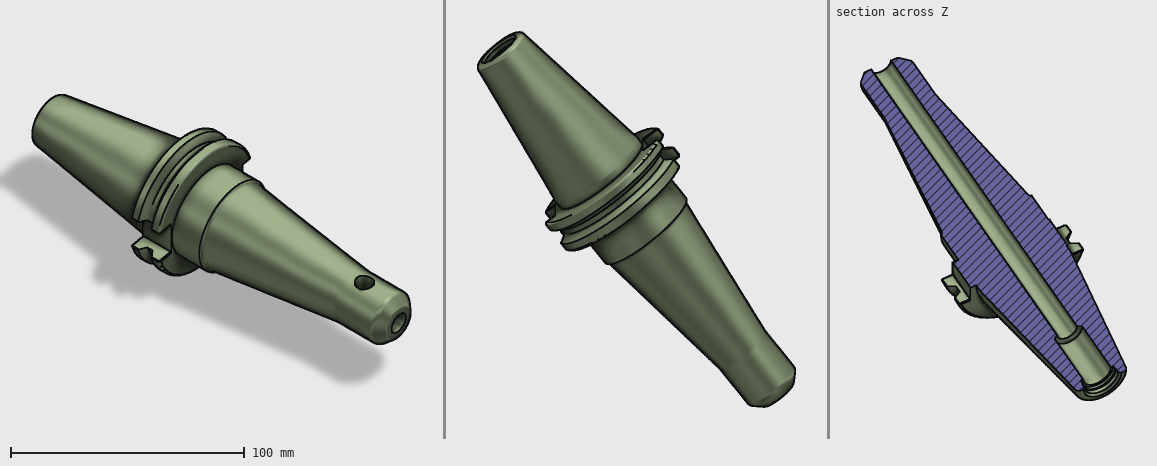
import cadquery as cq
import math

INCH = 25.4
TOLERANCE = 1e-3

GAUGE_DIAMETER = 44.45
TAPER_RATIO = 7 / 24
SHANK_LENGTH = 68.25
SHANK_END_FILLET = 2.2

FLANGE_DIAMETER = 63.5
FLANGE_BACK_X = 0.125 * INCH
FLANGE_FRONT_X = 0.75 * INCH
FLANGE_RIM_FILLET = 1.0

GROOVE_CENTRE_X = 10.8
GROOVE_FLOOR_DIAMETER = 56.36
GROOVE_FLOOR_WIDTH = 3.2
GROOVE_FLOOR_FILLET = 0.5
GROOVE_HALF_ANGLE = math.radians(30)

SLOT_WIDTH = 16.3
SLOT_FLOOR_MINUS_Y = 22.6
SLOT_FLOOR_PLUS_Y = 25.0
SLOT_EDGE_CHAMFER = 0.45

BODY_END_X = 34.3
STEP_LENGTH = 0.7
STEP_DEPTH = 1.1
STEP_FILLET = 1.0
NOSE_DIAMETER = 25.4
NOSE_START_X = 4 * INCH
NOSE_END_X = 5 * INCH
NOSE_BLEND_RADIUS = 6.0
NOSE_CHAMFER = 4.5
NOSE_SHOULDER_FILLET = 2.5
NOSE_TIP_FILLET = 1.6

SOCKET_MOUTH_DIAMETER = 18.4
SOCKET_PILOT_DIAMETER = 16.3
SOCKET_PILOT_DEPTH = 3.0
SOCKET_SEAT_DIAMETER = 15.7
SOCKET_SEAT_DEPTH = 4.8
THREAD_BORE_DIAMETER = 13.39
THREAD_BORE_DEPTH = 30.0
DRILL_POINT_HALF_ANGLE = math.radians(59)

TOOL_BORE_DIAMETER = 9.53
SET_SCREW_DIAMETER = 8.38
SET_SCREW_X = NOSE_END_X - 0.75 * INCH


def revolve_profile(points):
    """Solid of revolution about X from (x, radius) points, closed on the axis."""
    on_axis = [(points[0][0], 0)] + points + [(points[-1][0], 0)]
    return cq.Workplane("XY").polyline(on_axis).close().revolve(360, (0, 0, 0), (1, 0, 0))


def circle_edges_at(solid, x, radius):
    """Circular edges of a solid centred on the X axis at one station and radius."""
    def matches(edge):
        return (
            edge.geomType() == "CIRCLE"
            and abs(edge.Center().x - x) < TOLERANCE
            and abs(edge.radius() - radius) < TOLERANCE
        )
    return solid.newObject([edge for edge in solid.edges().vals() if matches(edge)])


def make_shank():
    gauge_radius = GAUGE_DIAMETER / 2
    end_radius = gauge_radius - SHANK_LENGTH * TAPER_RATIO / 2
    shank = revolve_profile(
        [(-SHANK_LENGTH, end_radius), (0, gauge_radius), (FLANGE_BACK_X, gauge_radius)]
    )
    return circle_edges_at(shank, -SHANK_LENGTH, end_radius).fillet(SHANK_END_FILLET)


def make_drive_slot(side, floor_distance):
    """Block that cuts one drive slot; side is the sign of Y it lies on."""
    width = FLANGE_FRONT_X - FLANGE_BACK_X
    depth = FLANGE_DIAMETER / 2 - floor_distance
    centre = ((FLANGE_BACK_X + FLANGE_FRONT_X) / 2, side * (floor_distance + depth / 2), 0)
    return cq.Workplane("XY").box(width, depth, SLOT_WIDTH).translate(centre)


def slot_wall_edges(flange, mouth_back_x, mouth_front_x):
    """Outer edges of the slot walls: end faces, rim fillets and rim lands.

    Edges inside the groove and along the slot floors reach past the groove mouth and are left sharp.
    """
    def matches(edge):
        box = edge.BoundingBox()
        on_wall = box.zlen < TOLERANCE and abs(abs(box.center.z) - SLOT_WIDTH / 2) < TOLERANCE
        beside_groove = box.xmax < mouth_back_x + TOLERANCE or box.xmin > mouth_front_x - TOLERANCE
        return on_wall and beside_groove
    return flange.newObject([edge for edge in flange.edges().vals() if matches(edge)])


def make_flange():
    rim = FLANGE_DIAMETER / 2
    groove_floor = GROOVE_FLOOR_DIAMETER / 2
    floor_back_x = GROOVE_CENTRE_X - GROOVE_FLOOR_WIDTH / 2
    floor_front_x = GROOVE_CENTRE_X + GROOVE_FLOOR_WIDTH / 2
    wall_length = (rim - groove_floor) * math.tan(GROOVE_HALF_ANGLE)
    mouth_back_x = floor_back_x - wall_length
    mouth_front_x = floor_front_x + wall_length
    flange = revolve_profile([
        (FLANGE_BACK_X, rim),
        (mouth_back_x, rim),
        (floor_back_x, groove_floor),
        (floor_front_x, groove_floor),
        (mouth_front_x, rim),
        (FLANGE_FRONT_X, rim),
    ])
    for x in (floor_back_x, floor_front_x):
        flange = circle_edges_at(flange, x, groove_floor).fillet(GROOVE_FLOOR_FILLET)
    for x in (FLANGE_BACK_X, FLANGE_FRONT_X):
        flange = circle_edges_at(flange, x, rim).fillet(FLANGE_RIM_FILLET)
    for side, floor_distance in ((-1, SLOT_FLOOR_MINUS_Y), (1, SLOT_FLOOR_PLUS_Y)):
        flange = flange.cut(make_drive_slot(side, floor_distance))
    return slot_wall_edges(flange, mouth_back_x, mouth_front_x).chamfer(SLOT_EDGE_CHAMFER)


def make_body_and_nose():
    body_radius = GAUGE_DIAMETER / 2
    nose_radius = NOSE_DIAMETER / 2
    tip_radius = nose_radius - NOSE_CHAMFER
    chamfer_start_x = NOSE_END_X - NOSE_CHAMFER
    body = revolve_profile([
        (FLANGE_BACK_X, body_radius),
        (BODY_END_X, body_radius),
        (BODY_END_X + STEP_LENGTH, body_radius - STEP_DEPTH),
        (NOSE_START_X, nose_radius),
        (chamfer_start_x, nose_radius),
        (NOSE_END_X, tip_radius),
    ])
    step_radius = body_radius - STEP_DEPTH
    body = circle_edges_at(body, BODY_END_X + STEP_LENGTH, step_radius).fillet(STEP_FILLET)
    body = circle_edges_at(body, NOSE_START_X, nose_radius).fillet(NOSE_BLEND_RADIUS)
    body = circle_edges_at(body, chamfer_start_x, nose_radius).fillet(NOSE_SHOULDER_FILLET)
    return circle_edges_at(body, NOSE_END_X, tip_radius).fillet(NOSE_TIP_FILLET)


def make_bore():
    """Socket, thread bore and tool bore as one stepped core along the axis."""
    back = -SHANK_LENGTH
    mouth = SOCKET_MOUTH_DIAMETER / 2
    pilot = SOCKET_PILOT_DIAMETER / 2
    seat = SOCKET_SEAT_DIAMETER / 2
    thread = THREAD_BORE_DIAMETER / 2
    tool = TOOL_BORE_DIAMETER / 2
    drill_point_length = (thread - tool) / math.tan(DRILL_POINT_HALF_ANGLE)
    return revolve_profile([
        (back, mouth),
        (back + mouth - pilot, pilot),
        (back + SOCKET_PILOT_DEPTH, pilot),
        (back + SOCKET_PILOT_DEPTH + pilot - seat, seat),
        (back + SOCKET_SEAT_DEPTH, seat),
        (back + SOCKET_SEAT_DEPTH, thread),
        (back + THREAD_BORE_DEPTH, thread),
        (back + THREAD_BORE_DEPTH + drill_point_length, tool),
        (NOSE_END_X, tool),
    ])


def make_set_screw_hole():
    """Radial hole from the top of the nose into the tool bore."""
    return (
        cq.Workplane("XY")
        .center(SET_SCREW_X, 0)
        .circle(SET_SCREW_DIAMETER / 2)
        .extrude(NOSE_DIAMETER / 2)
    )


holder = make_shank().union(make_flange()).union(make_body_and_nose())
result = holder.cut(make_bore()).cut(make_set_screw_hole())